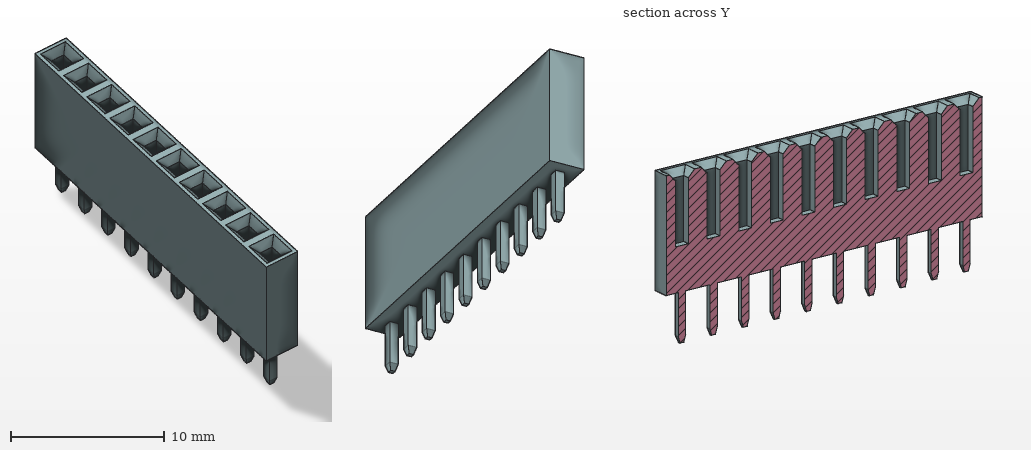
import cadquery as cq

pin_count = 10
pitch = 2.55
housing_length = pin_count * pitch
housing_width = pitch
overall_height = 11.85
housing_height = 8.33

mouth_size = 2.0
hole_size = 1.0
mouth_depth = (mouth_size - hole_size) / 2
socket_depth = 5.08

pin_size = 0.64
tip_size = 0.33
tip_height = 0.5
pin_length = overall_height - housing_height
shank_length = pin_length - tip_height

first_x = -(housing_length - pitch) / 2
cell_centers_x = [first_x + i * pitch for i in range(pin_count)]


def square_frustum(start_z, start_size, end_z, end_size):
    """Solid between two centred, horizontal squares."""
    return (
        cq.Workplane("XY")
        .workplane(offset=start_z)
        .rect(start_size, start_size)
        .workplane(offset=end_z - start_z)
        .rect(end_size, end_size)
        .loft(ruled=True)
    )


def make_housing():
    """Rectangular block standing on Z = 0."""
    return cq.Workplane("XY").box(
        housing_length, housing_width, housing_height, centered=(True, True, False)
    )


def make_socket():
    """Volume removed from the top of one cell."""
    mouth_bottom = housing_height - mouth_depth
    mouth = square_frustum(housing_height, mouth_size, mouth_bottom, hole_size)
    hole = (
        cq.Workplane("XY")
        .workplane(offset=housing_height - socket_depth)
        .rect(hole_size, hole_size)
        .extrude(socket_depth - mouth_depth)
    )
    return mouth.union(hole)


def make_pin():
    """Post hanging from the underside of one cell."""
    shank = cq.Workplane("XY").rect(pin_size, pin_size).extrude(-shank_length)
    tip = square_frustum(-shank_length, pin_size, -pin_length, tip_size)
    return shank.union(tip)


result = make_housing()
socket = make_socket()
pin = make_pin()
for x in cell_centers_x:
    result = result.cut(socket.translate((x, 0, 0)))
    result = result.union(pin.translate((x, 0, 0)))